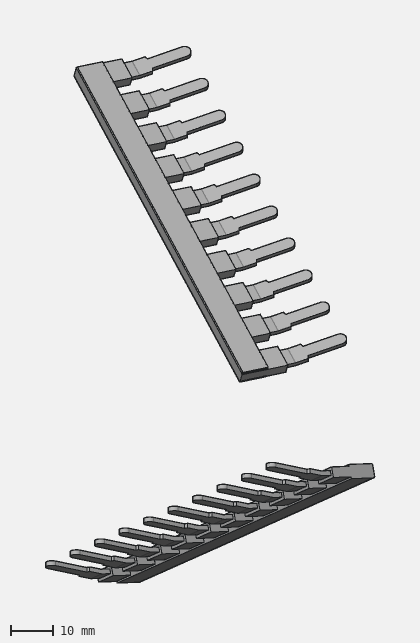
import cadquery as cq
import math

prong_count = 10
pitch = 10.25
sleeve_width = 6.1
first_prong_x = sleeve_width / 2

plate_thickness = 1.15
blade_width = 3.0
blade_reach = 14.0
collar_width = 4.6
collar_length = 3.3
shoulder_slope = 0.3

tilt_angle = 12.0
overall_depth = 28.65
sleeve_start = 2.5
bar_start = 7.65
sleeve_thickness = 2.6
bar_thickness = 3.5
bar_length = 98.1
edge_chamfer = 0.25

tilt = math.radians(tilt_angle)
holder_middle = -plate_thickness / 2
bar_bottom = holder_middle - bar_thickness / 2
bar_end = (overall_depth - blade_reach + (bar_bottom + edge_chamfer) * math.sin(tilt)) / math.cos(tilt)


def tilted_block(x_min, width, start, end, thickness, middle):
    """Block lying along the tilt, between two distances from the bend line."""
    block = cq.Workplane("XY").box(width, end - start, thickness, centered=False)
    return block.translate((x_min, -end, middle - thickness / 2))


def tilt_up(body):
    """Swing a body about the bend line so that its -Y end rises."""
    return body.rotate((0, 0, 0), (1, 0, 0), -tilt_angle)


def make_blade(x):
    """Flat contact blade with a round tip, widening over sloped shoulders to the collar."""
    tip_radius = blade_width / 2
    half_collar = collar_width / 2
    straight_end = blade_reach - tip_radius
    return (
        cq.Workplane("XY", origin=(x, 0, 0))
        .moveTo(-half_collar, 0)
        .lineTo(half_collar, 0)
        .lineTo(half_collar, collar_length)
        .lineTo(tip_radius, collar_length + shoulder_slope)
        .lineTo(tip_radius, straight_end)
        .threePointArc((0, blade_reach), (-tip_radius, straight_end))
        .lineTo(-tip_radius, collar_length + shoulder_slope)
        .lineTo(-half_collar, collar_length)
        .close()
        .extrude(-plate_thickness)
    )


def make_neck(x):
    """Tilted strip of constant thickness from the flat collar into the sleeve."""
    rise = bar_start * math.sin(tilt)
    run = bar_start * math.cos(tilt)
    side_outline = [
        (0, 0),
        (0, -plate_thickness),
        (-plate_thickness * math.tan(tilt / 2), -plate_thickness),
        (-run - plate_thickness * math.sin(tilt), rise - plate_thickness * math.cos(tilt)),
        (-run, rise),
    ]
    strip = cq.Workplane("YZ", origin=(x - collar_width / 2, 0, 0))
    return strip.polyline(side_outline).close().extrude(collar_width)


def make_sleeve(x):
    """Thick sleeve around the neck, between the bend and the bar."""
    x_min = x - sleeve_width / 2
    return tilt_up(tilted_block(x_min, sleeve_width, sleeve_start, bar_end, sleeve_thickness, holder_middle))


def make_bar():
    """Long bar joining all sleeves, with both long front edges chamfered."""
    bar = tilted_block(0, bar_length, bar_start, bar_end, bar_thickness, holder_middle)
    return tilt_up(bar.faces("<Y").edges("|X").chamfer(edge_chamfer))


result = make_bar()
for index in range(prong_count):
    prong_x = first_prong_x + index * pitch
    result = result.union(make_sleeve(prong_x))
    result = result.union(make_neck(prong_x))
    result = result.union(make_blade(prong_x))